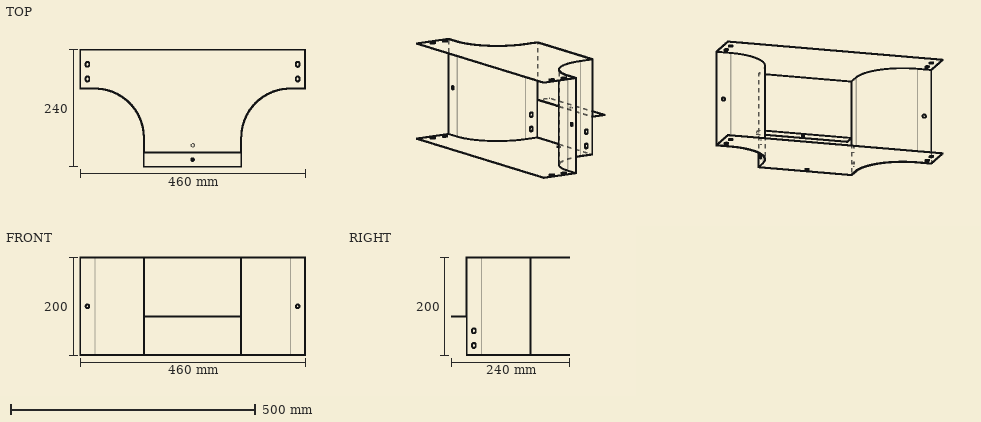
import cadquery as cq
import math

sheet = 1.0
height = 200.0
length = 460.0
neck_width = 200.0
arm_depth = 80.0
mouth_length = 30.0
lip_length = 30.0
lip_depth_below_roof = 120.0

slot_width = 7.0
slot_length = 10.0
slot_pitch = 30.0
arm_slot_from_back = 30.0
neck_slot_from_floor = 20.0
wall_hole_diameter = 7.0
floor_hole_diameter = 7.0
lip_hole_diameter = 5.0

half_length = length / 2
half_neck = neck_width / 2
half_height = height / 2
bend_radius = half_length - half_neck - mouth_length
neck_end = -(arm_depth + bend_radius + mouth_length)
lip_top = half_height - lip_depth_below_roof
hole_inset = mouth_length / 2
cut_length = 4 * sheet


def side_path(path, radius, offset):
    """Set inward by offset, trace the right-hand side of the tee from the arm mouth to the neck mouth."""
    arc_drop = radius * (1 - math.sin(math.pi / 4))
    neck_x = half_neck - offset
    arm_y = -arm_depth + offset
    return (
        path.lineTo(half_length - mouth_length, arm_y)
        .threePointArc((neck_x + arc_drop, arm_y - arc_drop), (neck_x, arm_y - radius))
        .lineTo(neck_x, neck_end)
    )


def tee_half():
    """Right half of the tee outline as a full-height block."""
    path = cq.Workplane("XY").moveTo(0, 0).lineTo(half_length, 0).lineTo(half_length, -arm_depth)
    path = side_path(path, bend_radius, 0)
    return path.lineTo(0, neck_end).close().extrude(height).translate((0, 0, -half_height))


def inner_half():
    """Right half of the hollow inside the duct, between floor and roof."""
    path = cq.Workplane("XY").moveTo(0, 0).lineTo(half_length, 0)
    path = path.lineTo(half_length, -arm_depth + sheet)
    path = side_path(path, bend_radius + sheet, sheet)
    inner_height = height - 2 * sheet
    return path.lineTo(0, neck_end).close().extrude(inner_height).translate((0, 0, -inner_height / 2))


def both_sides(right_half):
    """Complete a right half with its mirror image."""
    return right_half.union(right_half.mirror("YZ"))


def front_panel():
    """Panel over the upper part of the neck mouth with a lip bent forward."""
    panel_height = half_height - lip_top + sheet
    panel = cq.Workplane("XY").box(neck_width, sheet, panel_height, centered=(True, False, False))
    panel = panel.translate((0, neck_end - sheet, lip_top - sheet))
    lip = cq.Workplane("XY").box(neck_width, lip_length, sheet, centered=(True, False, False))
    lip = lip.translate((0, neck_end - lip_length, lip_top - sheet))
    return panel.union(lip)


def vertical_slots():
    """Cutters for the slots in floor and roof at both arm mouths."""
    places = [
        (side * (half_length - hole_inset), -arm_slot_from_back - row * slot_pitch)
        for side in (-1, 1)
        for row in (0, 1)
    ]
    return (
        cq.Workplane("XY")
        .pushPoints(places)
        .slot2D(slot_length, slot_width, 90)
        .extrude(half_height + cut_length, both=True)
    )


def neck_slots():
    """Cutters for the upright slots through both side walls of the neck."""
    places = [
        (neck_end + hole_inset, -half_height + neck_slot_from_floor + row * slot_pitch)
        for row in (0, 1)
    ]
    return (
        cq.Workplane("YZ")
        .pushPoints(places)
        .slot2D(slot_length, slot_width, 90)
        .extrude(half_neck + cut_length, both=True)
    )


def arm_wall_holes():
    """Cutters for the round hole in each arm wall."""
    places = [(side * (half_length - hole_inset), 0) for side in (-1, 1)]
    return (
        cq.Workplane("XZ", origin=(0, -arm_depth, 0))
        .pushPoints(places)
        .circle(wall_hole_diameter / 2)
        .extrude(cut_length, both=True)
    )


def centre_hole(y, z, diameter):
    """Cutter for a vertical hole on the centre plane."""
    return cq.Workplane("XY", origin=(0, y, z)).circle(diameter / 2).extrude(cut_length, both=True)


duct = both_sides(tee_half()).cut(both_sides(inner_half())).union(front_panel())
duct = duct.cut(vertical_slots()).cut(neck_slots()).cut(arm_wall_holes())
duct = duct.cut(centre_hole(neck_end - hole_inset, lip_top, lip_hole_diameter))
result = duct.cut(centre_hole(neck_end + hole_inset, -half_height, floor_hole_diameter))